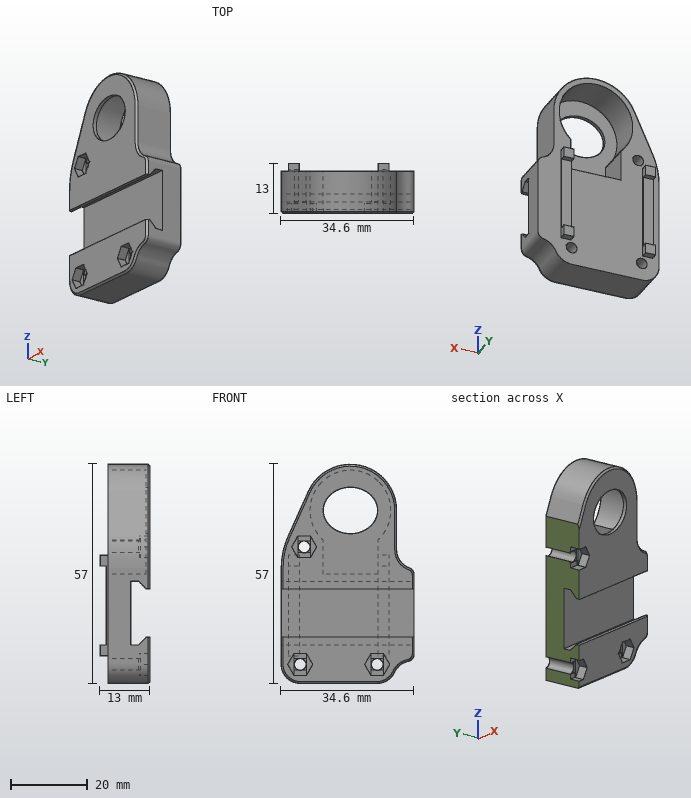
import cadquery as cq
import math

body_width = 34.6
body_height = 57.0
body_depth = 11.0
front_chamfer = 0.5

head_radius = 12.0
head_x = 18.0
head_z = body_height - head_radius
shoulder_radius = 20.0
shoulder_z = 30.0

ear_radius = 2.0
hollow_radius = 5.0
neck_z = 34.75
lower_ear_z = 7.7

screw_diameter = 3.0
corner_radius = 4.95
lower_screw_spacing = 20.0
upper_screw = (6.0, 35.5)
nut_across_flats = 5.65
nut_depth = 2.5
bridge_step = 0.3

eyelet_width = 14.1
eyelet_height = 12.0
eyelet_lip = 1.0
cavity_diameter = 21.0
cavity_floor_z = 28.5

channel_z = 18.3
channel_neck = 12.55
channel_lip = 1.0
channel_undercut = 2.0
channel_depth = 5.0

rail_width = 2.85
rail_spacing = 23.3
rail_height = 0.45
foot_height = 2.0
rails_z = 20.3

rails_x = corner_radius + lower_screw_spacing / 2
lower_screws = [(corner_radius, corner_radius), (corner_radius + lower_screw_spacing, corner_radius)]
cavity_slot_half_width = rails_x + (rail_spacing - rail_width) / 2 - head_x


def prism(sketch, start, depth):
    """Extrude an XZ sketch from y = start towards +Y."""
    return sketch.extrude(-depth).translate((0, start, 0))


def xz(x=0, z=0):
    return cq.Workplane("XZ", origin=(x, 0, z))


def toward(start, target, distance):
    """Point at a distance from start on the line to target."""
    ratio = distance / math.dist(start, target)
    return (start[0] + ratio * (target[0] - start[0]), start[1] + ratio * (target[1] - start[1]))


def on_circle(center, radius, degrees):
    angle = math.radians(degrees)
    return (center[0] + radius * math.cos(angle), center[1] + radius * math.sin(angle))


def mid_arc(center, start, end):
    """Middle point of the minor arc from start to end."""
    chord_middle = ((start[0] + end[0]) / 2, (start[1] + end[1]) / 2)
    return toward(center, chord_middle, math.dist(center, start))


def body():
    head = (head_x, head_z)
    shoulder = (shoulder_radius, shoulder_z)
    left_corner, right_corner = lower_screws
    ear_x = body_width - ear_radius

    centers_angle = math.degrees(math.atan2(head_z - shoulder_z, head_x - shoulder_radius))
    reach = (shoulder_radius - head_radius) / math.dist(head, shoulder)
    slope_normal = centers_angle + math.degrees(math.acos(reach))
    slope_top = on_circle(head, head_radius, slope_normal)
    slope_bottom = on_circle(shoulder, shoulder_radius, slope_normal)

    neck = (head_x + head_radius + hollow_radius, neck_z)
    ear_drop = math.sqrt((hollow_radius + ear_radius) ** 2 - (neck[0] - ear_x) ** 2)
    upper_ear = (ear_x, neck_z - ear_drop)
    neck_end = toward(neck, upper_ear, hollow_radius)

    lower_ear = (ear_x, lower_ear_z)
    gap = math.dist(right_corner, lower_ear)
    corner_reach = corner_radius + hollow_radius
    ear_reach = ear_radius + hollow_radius
    corner_cosine = (corner_reach**2 + gap**2 - ear_reach**2) / (2 * corner_reach * gap)
    ear_angle = math.atan2(lower_ear[1] - right_corner[1], lower_ear[0] - right_corner[0])
    hollow_angle = math.degrees(ear_angle - math.acos(corner_cosine))
    hollow = on_circle(right_corner, corner_reach, hollow_angle)
    hollow_start = toward(lower_ear, hollow, ear_radius)
    hollow_end = on_circle(right_corner, corner_radius, hollow_angle)

    head_right = (head_x + head_radius, head_z)
    neck_start = (head_x + head_radius, neck_z)
    upper_ear_end = (body_width, upper_ear[1])
    lower_ear_start = (body_width, lower_ear_z)
    bottom_right = (right_corner[0], 0)
    bottom_left = (left_corner[0], 0)
    left_bottom = (0, left_corner[1])
    left_top = (0, shoulder_z)

    outline = (
        xz()
        .moveTo(*slope_top)
        .threePointArc((head_x, body_height), head_right)
        .lineTo(*neck_start)
        .threePointArc(mid_arc(neck, neck_start, neck_end), neck_end)
        .threePointArc(mid_arc(upper_ear, neck_end, upper_ear_end), upper_ear_end)
        .lineTo(*lower_ear_start)
        .threePointArc(mid_arc(lower_ear, lower_ear_start, hollow_start), hollow_start)
        .threePointArc(mid_arc(hollow, hollow_start, hollow_end), hollow_end)
        .threePointArc(mid_arc(right_corner, hollow_end, bottom_right), bottom_right)
        .lineTo(*bottom_left)
        .threePointArc(mid_arc(left_corner, bottom_left, left_bottom), left_bottom)
        .lineTo(*left_top)
        .threePointArc(mid_arc(shoulder, left_top, slope_bottom), slope_bottom)
        .close()
    )
    return prism(outline, 0, body_depth).faces("<Y").chamfer(front_chamfer)


def dovetail_channel():
    neck = channel_neck / 2
    wide = neck + channel_undercut
    flank_end = channel_lip + channel_undercut
    half = [(0, neck), (channel_lip, neck), (flank_end, wide), (channel_depth, wide)]
    mirrored = [(y, -z) for y, z in reversed(half)]
    return cq.Workplane("YZ", origin=(0, 0, channel_z)).polyline(half + mirrored).close().extrude(body_width)


def eyelet():
    """Oval opening in a thin front lip, with a round cavity and a slot below it behind the lip."""
    depth = body_depth + foot_height
    slot_height = head_z - cavity_floor_z
    slot_middle_z = head_z - slot_height / 2
    opening = prism(xz(head_x, head_z).ellipse(eyelet_width / 2, eyelet_height / 2), 0, depth)
    cavity = prism(xz(head_x, head_z).circle(cavity_diameter / 2), eyelet_lip, depth)
    slot = prism(xz(head_x, slot_middle_z).rect(2 * cavity_slot_half_width, slot_height), eyelet_lip, depth)
    return opening.union(cavity).union(slot)


def nut_trap(x, z):
    """Hexagon recess, then a slot and a square one step deeper each, then the screw hole."""
    nut_across_corners = nut_across_flats / math.cos(math.radians(30))
    slot_width = nut_across_corners / 2
    slot_end = nut_depth + bridge_step
    square_end = slot_end + bridge_step
    hexagon = prism(xz(x, z).polygon(6, nut_across_corners), 0, nut_depth)
    slot = prism(xz(x, z).rect(slot_width, nut_across_flats), 0, slot_end)
    square = prism(xz(x, z).rect(slot_width, screw_diameter), 0, square_end)
    hole = prism(xz(x, z).circle(screw_diameter / 2), 0, body_depth)
    return hexagon.union(slot).union(square).union(hole)


def footed_rail(x):
    length = rail_spacing + rail_width
    rail = prism(xz(x, rails_z).rect(rail_width, length), body_depth, rail_height)
    for side in (-1, 1):
        foot_z = rails_z + side * rail_spacing / 2
        rail = rail.union(prism(xz(x, foot_z).rect(rail_width, rail_width), body_depth, foot_height))
    return rail


result = body().cut(dovetail_channel()).cut(eyelet())
for screw in [*lower_screws, upper_screw]:
    result = result.cut(nut_trap(*screw))
for side in (-1, 1):
    result = result.union(footed_rail(rails_x + side * rail_spacing / 2))